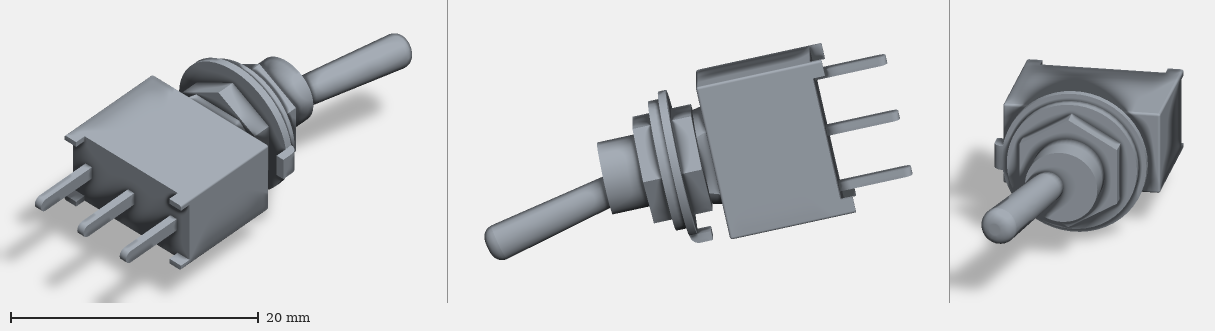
import cadquery as cq
import math


overall_width = 13.1
overall_length = 34.93

housing_width = 12.9
housing_height = 6.85
housing_depth = 9.4
edge_radius = 0.2
foot_width = 1.3
foot_thickness = 0.5
foot_length = 1.0

pin_pitch = 4.7
pin_count = 3
pin_width = 0.7
pin_height = 1.2
pin_reach = 15.4

collar_base_diameter = 8.15
collar_top_diameter = 7.8
collar_flats = 6.2
collar_height = 0.83
relief_diameter = 5.7
relief_length = 0.1

bushing_diameter = 5.95
bushing_top = 8.95
nut_flats = 8.0
nut_thickness_lower = 1.67
nut_thickness_upper = 1.58
tab_washer_diameter = 11.9
tab_washer_thickness = 0.65
tab_width = 2.05
tab_outer_x = overall_width - housing_width / 2
tab_thickness = 0.75
tab_drop = 1.77
lock_washer_diameter = 10.7
lock_washer_thickness = 0.95

lever_tilt = 13.0
lever_pivot_y = 4.15
lever_root_radius = 1.15
lever_tip_radius = 1.5
lever_tip_rounding = 1.0

bushing_start = collar_height + relief_length
tab_washer_start = bushing_start + nut_thickness_lower
lock_washer_start = tab_washer_start + tab_washer_thickness
upper_nut_start = lock_washer_start + lock_washer_thickness


def plane_at(y):
    """Plane across the bushing axis: local X is -X, local Y is Z, normal is +Y."""
    return cq.Workplane(cq.Plane(origin=(0, y, 0), xDir=(-1, 0, 0), normal=(0, 1, 0)))


def make_case():
    depth_with_feet = housing_depth + foot_length
    case = (
        plane_at(-depth_with_feet)
        .rect(housing_width, housing_height)
        .extrude(depth_with_feet)
        .edges("|Y or >Y")
        .fillet(edge_radius)
    )
    recess_width = housing_width - 2 * foot_width
    recess_height = housing_height - 2 * foot_thickness
    for width, height in ((recess_width, housing_height), (housing_width, recess_height)):
        case = case.cut(plane_at(-depth_with_feet).rect(width, height).extrude(foot_length))
    return case


def make_pin(x):
    tip_radius = pin_height / 2
    straight_end = tip_radius - pin_reach
    return (
        cq.Workplane("YZ", origin=(x - pin_width / 2, 0, 0))
        .moveTo(-housing_depth, -tip_radius)
        .lineTo(straight_end, -tip_radius)
        .threePointArc((-pin_reach, 0), (straight_end, tip_radius))
        .lineTo(-housing_depth, tip_radius)
        .close()
        .extrude(pin_width)
    )


def make_collar():
    cone = (
        plane_at(0)
        .circle(collar_base_diameter / 2)
        .workplane(offset=collar_height)
        .circle(collar_top_diameter / 2)
        .loft()
    )
    flats = plane_at(0).rect(collar_base_diameter, collar_flats).extrude(collar_height)
    return cone.intersect(flats)


def make_lever():
    """Tapered round lever, built upright on Y and tilted about its pivot toward +X."""
    tilt = math.radians(lever_tilt)
    rounding_center_radius = lever_tip_radius - lever_tip_rounding
    lever_top = overall_length - pin_reach
    rounding_center_y = lever_top - lever_tip_rounding - rounding_center_radius * math.sin(tilt)
    shank_length = (rounding_center_y - lever_pivot_y) / math.cos(tilt)
    shank_end = lever_pivot_y + shank_length
    diagonal = lever_tip_rounding * math.sqrt(0.5)
    return (
        cq.Workplane("XY")
        .moveTo(0, lever_pivot_y)
        .lineTo(lever_root_radius, lever_pivot_y)
        .lineTo(lever_tip_radius, shank_end)
        .threePointArc(
            (rounding_center_radius + diagonal, shank_end + diagonal),
            (rounding_center_radius, shank_end + lever_tip_rounding),
        )
        .lineTo(0, shank_end + lever_tip_rounding)
        .close()
        .revolve(360, (0, 0, 0), (0, 1, 0))
        .rotate((0, lever_pivot_y, 0), (0, lever_pivot_y, 1), -lever_tilt)
    )


def make_switch_body(lever):
    body = make_case().union(make_collar())
    body = body.union(plane_at(collar_height).circle(relief_diameter / 2).extrude(relief_length))
    bushing = plane_at(bushing_start).circle(bushing_diameter / 2).extrude(bushing_top - bushing_start)
    body = body.union(bushing)
    for index in range(pin_count):
        body = body.union(make_pin((index - (pin_count - 1) / 2) * pin_pitch))
    return body.cut(lever)


def make_nut(start, thickness):
    """Hexagon nut with flats facing +X and -X."""
    across_corners = nut_flats / math.cos(math.pi / 6)
    return (
        plane_at(start)
        .transformed(rotate=(0, 0, 90))
        .polygon(6, across_corners)
        .circle(bushing_diameter / 2)
        .extrude(thickness)
    )


def make_tab_washer():
    disc = plane_at(tab_washer_start).circle(tab_washer_diameter / 2).extrude(tab_washer_thickness)
    top = lock_washer_start
    tab_inner_x = tab_outer_x - tab_thickness
    bend_center_y = top - tab_thickness
    tab_root_x = bushing_diameter / 2
    diagonal = tab_thickness * math.sqrt(0.5)
    tab = (
        cq.Workplane("XY", origin=(0, 0, -tab_width / 2))
        .moveTo(tab_root_x, top)
        .lineTo(tab_inner_x, top)
        .threePointArc((tab_inner_x + diagonal, bend_center_y + diagonal), (tab_outer_x, bend_center_y))
        .lineTo(tab_outer_x, top - tab_drop)
        .lineTo(tab_inner_x, top - tab_drop)
        .lineTo(tab_inner_x, tab_washer_start)
        .lineTo(tab_root_x, tab_washer_start)
        .close()
        .extrude(tab_width)
    )
    bore = plane_at(tab_washer_start).circle(bushing_diameter / 2).extrude(tab_washer_thickness)
    return disc.union(tab).cut(bore)


def make_lock_washer():
    return (
        plane_at(lock_washer_start)
        .circle(lock_washer_diameter / 2)
        .circle(bushing_diameter / 2)
        .extrude(lock_washer_thickness)
    )


lever = make_lever()
switch_body = make_switch_body(lever)
nuts = [
    make_nut(start, thickness)
    for start, thickness in (
        (bushing_start, nut_thickness_lower),
        (upper_nut_start, nut_thickness_upper),
    )
]
tab_washer = make_tab_washer()
lock_washer = make_lock_washer()

result = cq.Compound.makeCompound([
    switch_body.val(),
    lever.val(),
    *[nut.val() for nut in nuts],
    tab_washer.val(),
    lock_washer.val(),
])